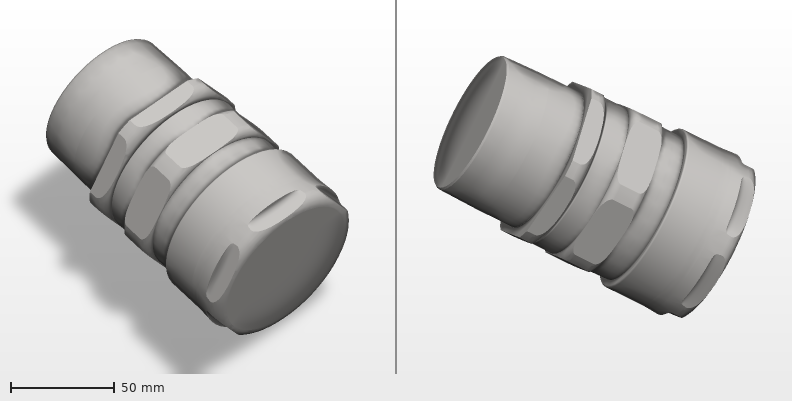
import cadquery as cq
import math


overall_length = 137.2
thread_chamfer_end = 1.0
thread_taper_end = 22.6
thread_end = 42.1
entry_hex_start = 42.5
entry_hex_end = 52.5
main_start = 53.5
main_hex_start = 65.7
main_hex_end = 84.0
cap_start = 97.1
cap_flare_start = 116.6
cap_flats_start = 127.4

hex_sides = 6
across_flats = 80.0
hex_round_diameter = 87.9

thread_end_face_diameter = 70.4
thread_tip_diameter = 71.7
thread_diameter = 73.0
neck_diameter = 73.2
entry_hex_corner_radius = 5.9

collar_diameter = 79.0
collar_edge_radius = 0.5
main_hex_corner_radius = 4.1

sleeve_large_diameter = 78.5
sleeve_small_diameter = 77.6

cap_diameter = 85.2
cap_edge_radius = 0.8
cap_end_radius = 5.9
cap_flare_angle = math.radians(4.5)
cap_flare_radius = 63.1
flat_root_radius = 1.4


def disc(start, end, diameter):
    """Solid cylinder on the X axis between two stations."""
    return cq.Workplane("YZ").workplane(offset=start).circle(diameter / 2).extrude(end - start)


def hexagon(start, end):
    """Hexagonal prism with flats facing +Z and -Z and corners on +Y and -Y."""
    plane = cq.Workplane("YZ").workplane(offset=start)
    prism = plane.polygon(hex_sides, across_flats, circumscribed=True).extrude(end - start)
    half_side_turn = 180 / hex_sides
    return prism.rotate((0, 0, 0), (1, 0, 0), half_side_turn)


def make_entry_fitting():
    """Tapered entry thread with a hexagon that is rounded on its inner side only."""
    thread = (
        cq.Workplane("XY")
        .lineTo(0, thread_end_face_diameter / 2)
        .lineTo(thread_chamfer_end, thread_tip_diameter / 2)
        .lineTo(thread_taper_end, thread_diameter / 2)
        .lineTo(thread_end, thread_diameter / 2)
        .lineTo(thread_end, 0)
        .close()
        .revolve(360, (0, 0), (1, 0))
    )
    neck = disc(thread_end, main_start, neck_diameter)
    blank = disc(entry_hex_start, entry_hex_end, hex_round_diameter)
    blank = blank.faces(">X").edges().fillet(entry_hex_corner_radius)
    flange = blank.intersect(hexagon(entry_hex_start, entry_hex_end))
    return thread.union(neck).union(flange)


def make_main_body():
    """Round collar followed by a hexagon with both ends rounded."""
    collar = disc(main_start, main_hex_start, collar_diameter)
    collar = collar.faces("<X").edges().fillet(collar_edge_radius)
    blank = disc(main_hex_start, main_hex_end, hex_round_diameter)
    blank = blank.faces("<X or >X").edges().fillet(main_hex_corner_radius)
    return collar.union(blank.intersect(hexagon(main_hex_start, main_hex_end)))


def make_sealing_sleeve():
    """Slightly conical sleeve between the main body and the cap nut."""
    return (
        cq.Workplane("XY")
        .moveTo(main_hex_end, 0)
        .lineTo(main_hex_end, sleeve_large_diameter / 2)
        .lineTo(cap_start, sleeve_small_diameter / 2)
        .lineTo(cap_start, 0)
        .close()
        .revolve(360, (0, 0), (1, 0))
    )


def make_cap_blank():
    """Round cap: a cylinder that curves into a flaring cone, with rounded end edges."""
    cap_radius = cap_diameter / 2
    flare_end = cap_flare_start + cap_flare_radius * math.sin(cap_flare_angle)
    flare_end_radius = cap_radius + cap_flare_radius * (1 - math.cos(cap_flare_angle))
    tip_radius = flare_end_radius + (overall_length - flare_end) * math.tan(cap_flare_angle)
    blank = (
        cq.Workplane("XY")
        .moveTo(cap_start, 0)
        .lineTo(cap_start, cap_radius)
        .lineTo(cap_flare_start, cap_radius)
        .tangentArcPoint((flare_end, flare_end_radius), relative=False)
        .lineTo(overall_length, tip_radius)
        .lineTo(overall_length, 0)
        .close()
        .revolve(360, (0, 0), (1, 0))
    )
    blank = blank.faces("<X").edges().fillet(cap_edge_radius)
    return blank.faces(">X").edges().fillet(cap_end_radius)


def make_flat_cutter():
    """Block that mills the +Z wrench flat, leaving a rounded step at its inner end."""
    flat_height = across_flats / 2
    cutter = cq.Workplane("XY").box(
        overall_length - cap_flats_start,
        cap_diameter,
        hex_round_diameter - across_flats,
        centered=(False, True, False),
    )
    cutter = cutter.edges("<X and <Z").fillet(flat_root_radius)
    return cutter.translate((cap_flats_start, 0, flat_height))


def make_cap_nut():
    """Cap with six wrench flats milled into its outer end."""
    cap = make_cap_blank()
    cutter = make_flat_cutter()
    for index in range(hex_sides):
        turn = index * 360 / hex_sides
        cap = cap.cut(cutter.rotate((0, 0, 0), (1, 0, 0), turn))
    return cap


entry_fitting = make_entry_fitting()
main_body = make_main_body()
sealing_sleeve = make_sealing_sleeve()
cap_nut = make_cap_nut()

result = cq.Compound.makeCompound(
    [
        entry_fitting.val(),
        main_body.val(),
        sealing_sleeve.val(),
        cap_nut.val(),
    ]
)